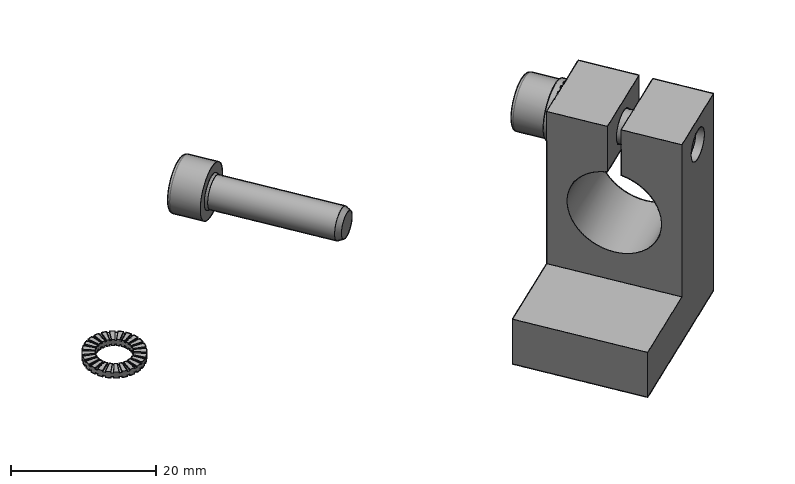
import cadquery as cq
import math

BLOCK_WIDTH = 20.0
BLOCK_HEIGHT = 35.0
BLOCK_DEPTH = 25.0
UPRIGHT_DEPTH = 12.0
FOOT_HEIGHT = 8.0
BORE_DIAMETER = 14.0
BORE_HEIGHT = 20.0
SLIT_WIDTH = 2.0
CLAMP_SCREW_DROP = 4.5
CLEARANCE_HOLE_DIAMETER = 5.2

HEAD_DIAMETER = 8.5
HEAD_LENGTH = 5.0
HEAD_EDGE_RADIUS = 0.5
SHANK_DIAMETER = 5.0
SHANK_LENGTH = 20.0
NECK_DIAMETER = 5.4
NECK_LENGTH = 0.4
TIP_DIAMETER = 4.1
TIP_LENGTH = 0.8
SOCKET_ACROSS_FLATS = 4.0
SOCKET_DEPTH = 0.5

WASHER_DIAMETER = 9.0
WASHER_BORE = 5.3
WASHER_THICKNESS = 1.1
SERRATION_COUNT = 24
SERRATION_ANGLE = 5.0
SERRATION_DEPTH = 0.2
TOP_GROOVE_BASE = WASHER_THICKNESS - SERRATION_DEPTH

OVERALL_LENGTH = 69.5
OVERALL_DEPTH = 68.1
BLOCK_LEFT = -BLOCK_WIDTH / 2
LOOSE_SCREW_END = BLOCK_WIDTH / 2 - OVERALL_LENGTH
LOOSE_SCREW_HEIGHT = 17.5
LOOSE_SCREW_SEAT = (LOOSE_SCREW_END + HEAD_LENGTH, -BLOCK_DEPTH, LOOSE_SCREW_HEIGHT)
CLAMP_SCREW_Y = -UPRIGHT_DEPTH / 2
CLAMP_SCREW_Z = BLOCK_HEIGHT - CLAMP_SCREW_DROP
CLAMP_SCREW_SEAT = (BLOCK_LEFT - WASHER_THICKNESS, CLAMP_SCREW_Y, CLAMP_SCREW_Z)
LOOSE_WASHER_INSET = 5.7
LOOSE_WASHER_MIDDLE = 18.1
LOOSE_WASHER_BASE = (
    LOOSE_SCREW_END + LOOSE_WASHER_INSET,
    WASHER_DIAMETER / 2 - OVERALL_DEPTH,
    LOOSE_WASHER_MIDDLE - WASHER_THICKNESS / 2,
)


def rod_along_x(diameter, start, length):
    """Cylinder on the clamp screw axis."""
    return (
        cq.Workplane("YZ", origin=(start, CLAMP_SCREW_Y, CLAMP_SCREW_Z))
        .circle(diameter / 2)
        .extrude(length)
    )


def make_clamp_block():
    block = (
        cq.Workplane("YZ", origin=(BLOCK_LEFT, 0, 0))
        .moveTo(0, 0)
        .lineTo(0, BLOCK_HEIGHT)
        .lineTo(-UPRIGHT_DEPTH, BLOCK_HEIGHT)
        .lineTo(-UPRIGHT_DEPTH, FOOT_HEIGHT)
        .lineTo(-BLOCK_DEPTH, FOOT_HEIGHT)
        .lineTo(-BLOCK_DEPTH, 0)
        .close()
        .extrude(BLOCK_WIDTH)
    )
    bore = (
        cq.Workplane("XZ")
        .center(0, BORE_HEIGHT)
        .circle(BORE_DIAMETER / 2)
        .extrude(UPRIGHT_DEPTH)
    )
    slit = (
        cq.Workplane("XY", origin=(0, -UPRIGHT_DEPTH / 2, BORE_HEIGHT))
        .rect(SLIT_WIDTH, UPRIGHT_DEPTH)
        .extrude(BLOCK_HEIGHT - BORE_HEIGHT)
    )
    clearance_hole = rod_along_x(CLEARANCE_HOLE_DIAMETER, BLOCK_LEFT, BLOCK_WIDTH / 2)
    snug_hole = rod_along_x(SHANK_DIAMETER, 0, BLOCK_WIDTH / 2)
    return block.cut(bore).cut(slit).cut(clearance_hole).cut(snug_hole)


def make_screw():
    """Screw along +X with the underside of its head at X = 0."""
    head = (
        cq.Workplane("YZ", origin=(-HEAD_LENGTH, 0, 0))
        .circle(HEAD_DIAMETER / 2)
        .extrude(HEAD_LENGTH)
        .faces("<X")
        .edges()
        .fillet(HEAD_EDGE_RADIUS)
    )
    shank = (
        cq.Workplane("XY")
        .moveTo(0, 0)
        .lineTo(0, NECK_DIAMETER / 2)
        .lineTo(NECK_LENGTH, SHANK_DIAMETER / 2)
        .lineTo(SHANK_LENGTH - TIP_LENGTH, SHANK_DIAMETER / 2)
        .lineTo(SHANK_LENGTH, TIP_DIAMETER / 2)
        .lineTo(SHANK_LENGTH, 0)
        .close()
        .revolve(360, (0, 0, 0), (1, 0, 0))
    )
    socket_corner_diameter = SOCKET_ACROSS_FLATS / math.cos(math.pi / 6)
    socket = (
        cq.Workplane("YZ", origin=(-HEAD_LENGTH, 0, 0))
        .transformed(rotate=(0, 0, 90))
        .polygon(6, socket_corner_diameter)
        .extrude(SOCKET_DEPTH)
    )
    return head.union(shank).cut(socket)


def make_washer_blank():
    """Plain ring standing on Z = 0."""
    return (
        cq.Workplane("XY")
        .circle(WASHER_DIAMETER / 2)
        .circle(WASHER_BORE / 2)
        .extrude(WASHER_THICKNESS)
    )


def cut_serrations(washer, base):
    """Cut a ring of radial, wedge-shaped grooves whose lower side is at Z = base."""
    reach = WASHER_DIAMETER
    angle = math.radians(SERRATION_ANGLE)
    groove = (
        cq.Workplane("XY", origin=(0, 0, base))
        .moveTo(0, 0)
        .lineTo(reach, 0)
        .lineTo(reach * math.cos(angle), reach * math.sin(angle))
        .close()
        .extrude(SERRATION_DEPTH)
    )
    for index in range(SERRATION_COUNT):
        turn = index * 360 / SERRATION_COUNT
        washer = washer.cut(groove.rotate((0, 0, 0), (0, 0, 1), turn))
    return washer


def make_washer():
    """Washer with serrations in both faces."""
    return cut_serrations(cut_serrations(make_washer_blank(), 0), TOP_GROOVE_BASE)


def make_clamp_screw():
    """Screw in the block with a captive washer, serrated only where it bears on the block."""
    captive_washer = cut_serrations(make_washer_blank(), TOP_GROOVE_BASE)
    captive_washer = captive_washer.rotate((0, 0, 0), (0, 1, 0), 90)
    return make_screw().union(captive_washer).translate(CLAMP_SCREW_SEAT)


clamp_block = make_clamp_block()
clamp_screw = make_clamp_screw()
loose_screw = make_screw().translate(LOOSE_SCREW_SEAT)
loose_washer = make_washer().translate(LOOSE_WASHER_BASE)

result = cq.Compound.makeCompound(
    [
        clamp_block.solids().val(),
        clamp_screw.solids().val(),
        loose_screw.solids().val(),
        loose_washer.solids().val(),
    ]
)